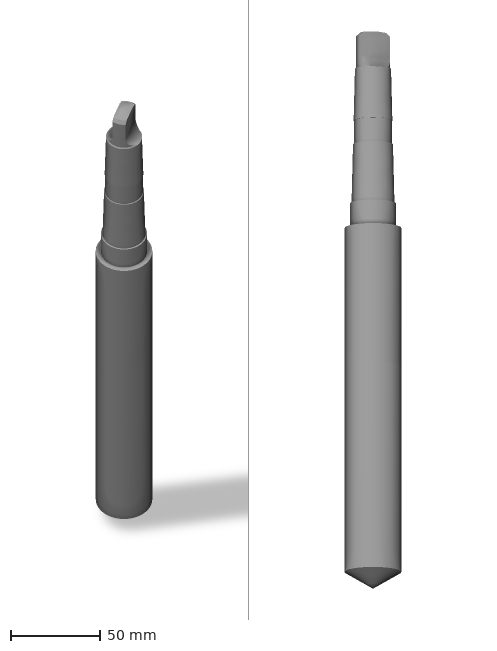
import cadquery as cq
import math


overall_length = 317.5
cutting_length = 127.0
shank_length = 112.0
collar_height = 14.0
recess_length = 13.5
recess_depth_from_end = 50.8
tang_length = 21.5
shoulder_z = overall_length - shank_length
taper_base_z = shoulder_z + collar_height
recess_top_z = overall_length - recess_depth_from_end
recess_base_z = recess_top_z - recess_length
tang_base_z = overall_length - tang_length

drill_diameter = 31.75
point_angle = 118.0
drill_radius = drill_diameter / 2
point_height = drill_radius / math.tan(math.radians(point_angle / 2))

collar_diameter = 25.82
recess_diameter = 21.2
taper_base_diameter = 24.1
taper_ratio = 1 / 19.922

tang_diameter = 19.0
tang_thickness = 7.9
tang_flat_length = 14.7
tang_runout_radius = 7.0
tang_end_chamfer = 1.8
tang_crown_height = 1.1
tang_angle = 33.3


def taper_radius(z):
    """Radius of the Morse taper at a height: the diameter shrinks by the taper ratio."""
    return (taper_base_diameter - (z - taper_base_z) * taper_ratio) / 2


def revolve_profile(points):
    """Spin a half profile of (radius, height) points about the Z axis."""
    profile = cq.Workplane("XZ").polyline(points).close()
    return profile.revolve(360, (0, 0, 0), (0, 1, 0))


def turn_about_axis(body, angle):
    """Turn a body about the drill axis by an angle in degrees."""
    return body.rotate((0, 0, 0), (0, 0, 1), angle)


def make_cutting_part():
    """Plain cylinder with a conical point."""
    return revolve_profile([
        (0, 0),
        (drill_radius, point_height),
        (drill_radius, cutting_length),
        (0, cutting_length),
    ])


def make_flat_cutter():
    """Cut one side of the tang: a flat that runs out at its foot in a concave arc."""
    flat_foot_z = overall_length - tang_flat_length
    flat_offset = tang_thickness / 2
    arc_center_x = flat_offset + tang_runout_radius
    arc_reach = tang_runout_radius * math.sqrt(0.5)
    outline = (
        cq.Workplane("XZ")
        .moveTo(flat_offset, overall_length)
        .lineTo(flat_offset, flat_foot_z)
        .threePointArc(
            (arc_center_x - arc_reach, flat_foot_z - arc_reach),
            (arc_center_x, flat_foot_z - tang_runout_radius),
        )
        .lineTo(drill_radius, flat_foot_z - tang_runout_radius)
        .lineTo(drill_radius, overall_length)
        .close()
    )
    return outline.extrude(drill_radius, both=True)


def make_shank():
    """Upper drill body, collar, recessed taper and flatted tang, all one piece."""
    collar_radius = collar_diameter / 2
    recess_radius = recess_diameter / 2
    tang_radius = tang_diameter / 2
    tang_shoulder_width = taper_radius(tang_base_z) - tang_radius
    crown_base_z = overall_length - tang_crown_height
    shank = revolve_profile([
        (0, cutting_length),
        (drill_radius, cutting_length),
        (drill_radius, shoulder_z),
        (collar_radius, shoulder_z),
        (collar_radius, taper_base_z),
        (taper_radius(taper_base_z), taper_base_z),
        (taper_radius(recess_base_z), recess_base_z),
        (recess_radius, recess_base_z),
        (recess_radius, recess_top_z),
        (taper_radius(recess_top_z), recess_top_z),
        (taper_radius(tang_base_z), tang_base_z),
        (tang_radius, tang_base_z + tang_shoulder_width),
        (tang_radius, crown_base_z - tang_end_chamfer),
        (tang_radius - tang_end_chamfer, crown_base_z),
        (0, overall_length),
    ])
    for side_angle in (0, 180):
        shank = shank.cut(turn_about_axis(make_flat_cutter(), side_angle))
    return shank


cutting_part = turn_about_axis(make_cutting_part(), tang_angle)
shank = turn_about_axis(make_shank(), tang_angle)

result = cq.Compound.makeCompound([cutting_part.val(), shank.val()])